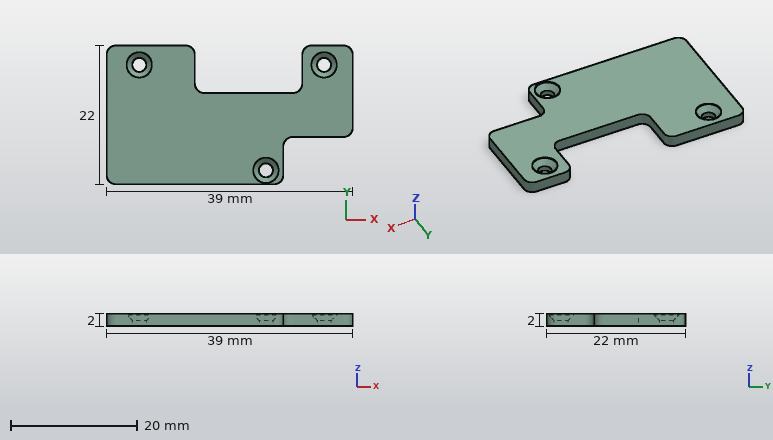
import cadquery as cq

length = 39.0
width = 22.0
thickness = 2.0
corner_radius = 1.5

notch_left = 14.0
notch_right = 30.95
notch_depth = 7.53

step_x = 28.0
step_y = 7.5

hole_diameter = 2.2
sink_diameter = 4.0
sink_angle = 90.0
sink_lip_depth = 0.15
back_hole_inset = 3.1
left_hole_x = 5.2
back_hole_spacing = 29.25
front_hole = (25.25, 2.22)


def make_plate():
    """Stepped plate with every vertical edge rounded."""
    notch_floor = width - notch_depth
    outline = [
        (0, 0),
        (step_x, 0),
        (step_x, step_y),
        (length, step_y),
        (length, width),
        (notch_right, width),
        (notch_right, notch_floor),
        (notch_left, notch_floor),
        (notch_left, width),
        (0, width),
    ]
    plate = cq.Workplane("XY").polyline(outline).close().extrude(thickness)
    return plate.edges("|Z").fillet(corner_radius)


def drill_screw_holes(plate):
    """Through holes, countersunk below a short straight lip at the top face."""
    back_hole_y = width - back_hole_inset
    centers = [
        (left_hole_x, back_hole_y),
        (left_hole_x + back_hole_spacing, back_hole_y),
        front_hole,
    ]
    lip_floor = thickness - sink_lip_depth
    at_lip_floor = cq.Workplane("XY", origin=(0, 0, lip_floor)).pushPoints(centers)
    lips = at_lip_floor.circle(sink_diameter / 2).extrude(sink_lip_depth)
    lipped_plate = plate.cut(lips)
    drilling = lipped_plate.copyWorkplane(at_lip_floor).pushPoints(centers)
    return drilling.cskHole(hole_diameter, sink_diameter, sink_angle)


result = drill_screw_holes(make_plate())